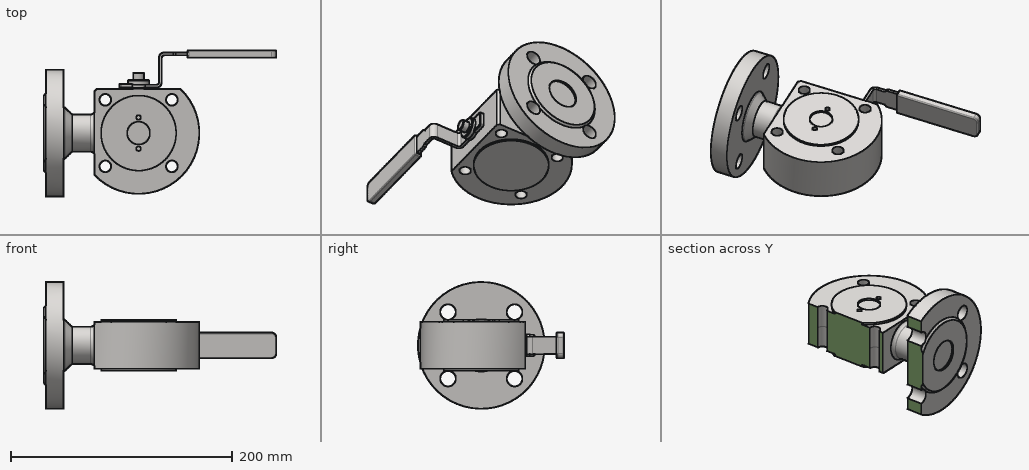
import cadquery as cq
import math


inlet_face_x = -85.9
flange_diameter = 115.0
flange_total_thickness = 18.0
raised_face_height = 2.0
raised_face_diameter = 68.0
flange_hole_diameter = 13.9
inlet_bore_diameter = 28.8
bore_recess_depth = 1.7
hub_diameter = 47.5
hub_collar_end_diameter = 46.3
hub_collar_length = 1.0
hub_cone_length = 6.5
neck_diameter = 33.9
neck_blend_radius = 4.2
neck_blend_length = 3.5

body_diameter = 110.0
body_height = 42.5
body_flat_offset = 40.0
body_hole_diameter = 10.3
pad_height = 1.9
outlet_bore_diameter = 20.6
pin_hole_diameter = 4.2
pin_hole_offset = 14.0
pin_hole_depth = 4.2

bolt_offset = 30.0

stem_diameter = 10.0
stem_end_y = 54.7
stem_chamfer = 0.6
nut_diameter = 19.4
nut_end_y = 48.2
nut_chamfer = 0.8

lever_thickness = 2.7
lever_width = 16.0
lever_base_y = 41.0
lever_riser_x = 18.3
lever_outer_y = 73.0
lever_eye_diameter = 19.8
bend_inner_radius = 2.3
shoulder_x = 31.5
shoulder_width = 20.0
tail_end_x = -17.5
tail_top_y = 44.6
tail_corner_radius = 1.7
tail_chamfer = 0.6

grip_start_x = 44.2
grip_end_x = 124.6
grip_outer_y = 75.0
grip_thickness = 7.0
grip_width = 23.4
grip_corner_radius = 4.5
grip_edge_radius = 1.0

flange_front_x = inlet_face_x + raised_face_height
flange_back_x = inlet_face_x + flange_total_thickness
nut_start_y = lever_base_y + lever_thickness
lever_inner_y = lever_outer_y - lever_thickness
bend_outer_radius = bend_inner_radius + lever_thickness


def box_between(low, high):
    size = [b - a for a, b in zip(low, high)]
    return cq.Workplane("XY").box(*size, centered=False).translate(low)


def square_pattern(plane):
    side = 2 * bolt_offset
    return plane.rect(side, side, forConstruction=True).vertices()


def make_inlet():
    collar_end_x = flange_back_x + hub_collar_length
    neck_start_x = collar_end_x + hub_cone_length
    blend_start_x = -body_flat_offset - neck_blend_length
    raised_radius = raised_face_diameter / 2
    flange_radius = flange_diameter / 2
    neck_radius = neck_diameter / 2
    blend_rise = neck_blend_radius - math.sqrt(neck_blend_radius**2 - neck_blend_length**2)
    blend_outer_radius = neck_radius + blend_rise
    profile = (
        cq.Workplane("XY")
        .moveTo(inlet_face_x, 0)
        .lineTo(inlet_face_x, raised_radius)
        .lineTo(flange_front_x, raised_radius + raised_face_height)
        .lineTo(flange_front_x, flange_radius)
        .lineTo(flange_back_x, flange_radius)
        .lineTo(flange_back_x, hub_diameter / 2)
        .lineTo(collar_end_x, hub_collar_end_diameter / 2)
        .lineTo(neck_start_x, neck_radius)
        .lineTo(blend_start_x, neck_radius)
        .radiusArc((-body_flat_offset, blend_outer_radius), -neck_blend_radius)
        .lineTo(0, blend_outer_radius)
        .lineTo(0, 0)
        .close()
    )
    inlet = profile.revolve(360, (0, 0, 0), (1, 0, 0))
    face_plane = cq.Workplane("YZ", origin=(inlet_face_x, 0, 0))
    holes = square_pattern(face_plane).circle(flange_hole_diameter / 2).extrude(flange_total_thickness)
    recess = face_plane.circle(inlet_bore_diameter / 2).extrude(bore_recess_depth)
    return inlet.cut(holes).cut(recess)


def make_body():
    radius = body_diameter / 2
    half_height = body_height / 2
    pad_top = half_height + pad_height
    drum = cq.Workplane("XY").circle(radius).extrude(half_height, both=True)
    flats = box_between(
        (-body_flat_offset, -radius, -half_height),
        (radius, body_flat_offset, half_height),
    )
    pads = cq.Workplane("XY").circle(raised_face_diameter / 2).extrude(pad_top, both=True)
    bolt_centres = square_pattern(cq.Workplane("XY"))
    bolt_holes = bolt_centres.circle(body_hole_diameter / 2).extrude(half_height, both=True)
    top_plane = cq.Workplane("XY", origin=(0, 0, pad_top))
    recess = top_plane.circle(outlet_bore_diameter / 2).extrude(-bore_recess_depth)
    pin_holes = (
        top_plane.pushPoints([(0, pin_hole_offset), (0, -pin_hole_offset)])
        .circle(pin_hole_diameter / 2)
        .extrude(-pin_hole_depth)
    )
    return drum.intersect(flats).union(pads).cut(bolt_holes).cut(recess).cut(pin_holes)


def cylinder_along_y(diameter, start_y, end_y):
    plane = cq.Workplane("XZ", origin=(0, start_y, 0))
    return plane.circle(diameter / 2).extrude(start_y - end_y)


def make_stem():
    stem = cylinder_along_y(stem_diameter, 0, stem_end_y).faces(">Y").chamfer(stem_chamfer)
    nut = cylinder_along_y(nut_diameter, nut_start_y, nut_end_y).faces(">Y").chamfer(nut_chamfer)
    return stem.union(nut)


def make_lever():
    half_width = lever_width / 2
    riser_right_x = lever_riser_x + lever_thickness
    strip = (
        cq.Workplane("XY")
        .moveTo(0, lever_base_y)
        .lineTo(riser_right_x - bend_outer_radius, lever_base_y)
        .radiusArc((riser_right_x, lever_base_y + bend_outer_radius), -bend_outer_radius)
        .lineTo(riser_right_x, lever_inner_y - bend_inner_radius)
        .radiusArc((riser_right_x + bend_inner_radius, lever_inner_y), bend_inner_radius)
        .lineTo(grip_end_x - grip_corner_radius, lever_inner_y)
        .lineTo(grip_end_x - grip_corner_radius, lever_outer_y)
        .lineTo(lever_riser_x + bend_outer_radius, lever_outer_y)
        .radiusArc((lever_riser_x, lever_outer_y - bend_outer_radius), -bend_outer_radius)
        .lineTo(lever_riser_x, nut_start_y + bend_inner_radius)
        .radiusArc((lever_riser_x - bend_inner_radius, nut_start_y), bend_inner_radius)
        .lineTo(0, nut_start_y)
        .close()
        .extrude(shoulder_width / 2, both=True)
    )
    shoulder_half = shoulder_width / 2
    shoulder_full_x = shoulder_x + shoulder_half - half_width
    outline = (
        cq.Workplane("XZ")
        .moveTo(0, -half_width)
        .lineTo(shoulder_x, -half_width)
        .lineTo(shoulder_full_x, -shoulder_half)
        .lineTo(grip_end_x, -shoulder_half)
        .lineTo(grip_end_x, shoulder_half)
        .lineTo(shoulder_full_x, shoulder_half)
        .lineTo(shoulder_x, half_width)
        .lineTo(0, half_width)
        .close()
        .extrude(-grip_outer_y)
    )
    eye = cylinder_along_y(lever_eye_diameter, lever_base_y, nut_start_y)
    tail = (
        box_between((tail_end_x, lever_base_y, -half_width), (0, tail_top_y, half_width))
        .edges("|Y and <X")
        .fillet(tail_corner_radius)
        .faces(">Y")
        .chamfer(tail_chamfer)
    )
    return strip.intersect(outline).union(eye).union(tail)


def make_grip():
    half_width = grip_width / 2
    return (
        box_between(
            (grip_start_x, grip_outer_y - grip_thickness, -half_width),
            (grip_end_x, grip_outer_y, half_width),
        )
        .edges("|Y and >X")
        .fillet(grip_corner_radius)
        .faces("<Y or >Y or <X")
        .edges()
        .fillet(grip_edge_radius)
    )


result = make_body().union(make_inlet()).union(make_stem()).union(make_lever()).union(make_grip())